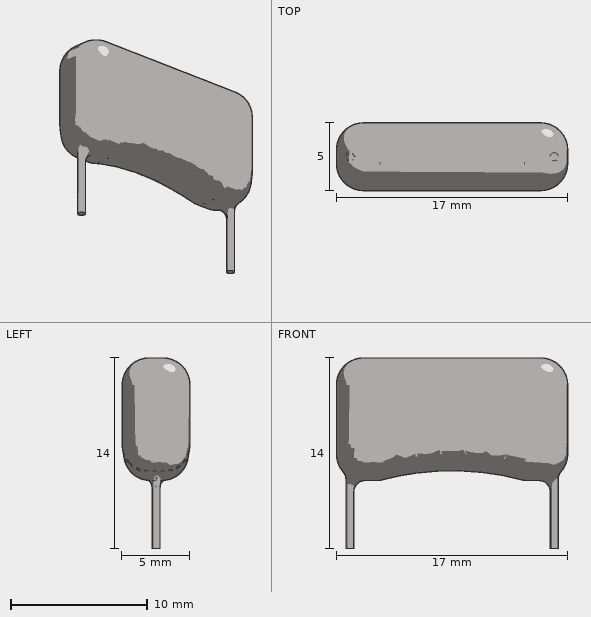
import cadquery as cq
import math

body_length = 17.0
body_width = 5.0
body_height = 9.01
round_radius = 2.0
bottom_radius = 1.95

draft_angle = math.radians(9.5)
draft_start_height = 2.52
fold_radius = round_radius

arch_span = 10.6
arch_rise = 0.71

lead_diameter = 0.6
lead_length = 5.0
lead_pitch = 15.0
lead_root_radius = 0.83

TOLERANCE = 0.002
SEAM_TOLERANCE = 0.02

half_width = body_width / 2
half_length = body_length / 2


def drafted_block():
    """Bar along X whose broad faces curve from vertical into the draft."""
    fold_setback = fold_radius * math.tan(draft_angle / 2)
    fold_centre_y = half_width - fold_radius
    fold_top_z = draft_start_height + fold_setback
    bottom_y = half_width - draft_start_height * math.tan(draft_angle)

    def fold_point(angle):
        y = fold_centre_y + fold_radius * math.cos(angle)
        z = fold_top_z - fold_radius * math.sin(angle)
        return y, z

    half_profile = (
        cq.Workplane("YZ", origin=(-half_length, 0, 0))
        .moveTo(0, 0)
        .lineTo(bottom_y, 0)
        .lineTo(*fold_point(draft_angle))
        .threePointArc(fold_point(draft_angle / 2), fold_point(0))
        .lineTo(half_width, body_height)
        .lineTo(0, body_height)
        .mirrorY()
    )
    return half_profile.extrude(body_length)


def arch_cutter():
    """Shallow circular segment running right across the body along Y."""
    return (
        cq.Workplane("XZ")
        .moveTo(-arch_span / 2, 0)
        .threePointArc((0, arch_rise), (arch_span / 2, 0))
        .close()
        .extrude(body_width, both=True)
    )


def rounded_body():
    """Block with its upright corners, top rim and arched bottom rim rounded off."""
    block = drafted_block().cut(arch_cutter()).val()

    corner_edges = [edge for edge in block.Edges() if is_upright_corner(edge)]
    block = block.fillet(round_radius, corner_edges)

    top_rim = [edge for edge in block.Edges() if edge.BoundingBox().zmin > body_height - TOLERANCE]
    block = block.fillet(round_radius, top_rim)

    bottom_rim = [edge for edge in block.Edges() if is_bottom_rim(edge)]
    return block.fillet(bottom_radius, bottom_rim)


def is_upright_corner(edge):
    """True for the edges where a broad face meets an end face."""
    centre = edge.Center()
    at_end = abs(centre.x) > half_length - TOLERANCE
    return at_end and abs(centre.y) > TOLERANCE and edge.BoundingBox().zlen > TOLERANCE


def is_bottom_rim(edge):
    """True for the outer edges of the underside, not the creases across it."""
    centre = edge.Center()
    crease = abs(centre.y) < TOLERANCE and abs(centre.x) < half_length - TOLERANCE
    return edge.BoundingBox().zmax < arch_rise + TOLERANCE and not crease


def lead(x):
    """Round wire hanging below the body, its top end buried in the body."""
    buried_length = round_radius
    return (
        cq.Workplane("XY", origin=(x, 0, -lead_length))
        .circle(lead_diameter / 2)
        .extrude(lead_length + buried_length)
        .val()
    )


def is_lead_root(edge):
    """True for the closed seam where a lead enters the rounded underside."""
    box = edge.BoundingBox()
    full_x = abs(box.xlen - lead_diameter) < SEAM_TOLERANCE
    full_y = abs(box.ylen - lead_diameter) < SEAM_TOLERANCE
    return full_x and full_y and box.zmin > -lead_length / 2


def capacitor():
    """Rounded body with both leads blended into its underside."""
    part = rounded_body()
    for x in (-lead_pitch / 2, lead_pitch / 2):
        part = part.fuse(lead(x))
    root_edges = [edge for edge in part.Edges() if is_lead_root(edge)]
    return part.fillet(lead_root_radius, root_edges)


result = cq.Workplane("XY").newObject([capacitor()])